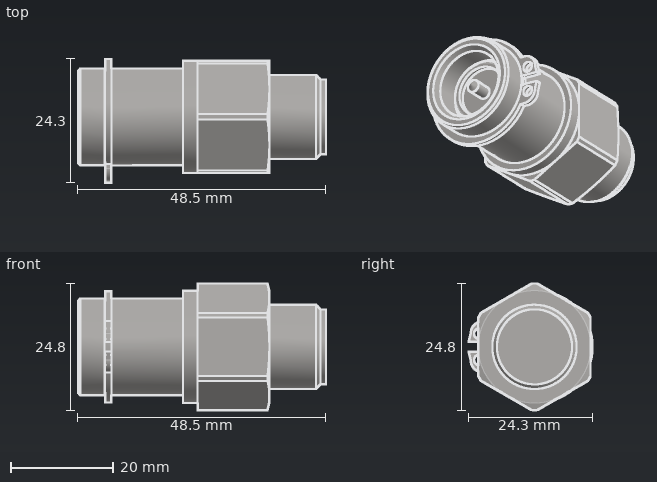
import cadquery as cq
import math


total_length = 48.5
body_diameter = 19.0
body_front_chamfer = 0.5

flange_start = 20.5
flange_diameter = 22.0
hex_start = 23.4
hex_end = 37.4
hex_sides = 6
hex_across_flats = 22.0
hex_corner_diameter = 24.8
hex_chamfer_length = 0.35

tail_diameter = 16.5
tip_diameter = 14.7
tip_length = 1.1
tail_cone_length = (tail_diameter - tip_diameter) / 2

socket_diameter = 13.6
socket_mouth_chamfer = 1.0
socket_depth = 6.3

sleeve_diameter = 12.6
sleeve_bore_diameter = 10.0
sleeve_front = 5.1
sleeve_rim_radius = 0.5

pin_diameter = 2.5
pin_front = 1.7
pin_cone_length = 0.7

groove_start = 5.2
groove_end = 6.5
groove_diameter = 18.0
ring_thickness = 1.2
ring_diameter = 21.8
ring_center_y = 0.5
ring_gap = 1.9
lug_corner_radius = 2.45
lug_corner_y = -10.05
lug_tip_y = -12.9
lug_hole_diameter = 2.0
lug_hole_y = -10.8
lug_hole_z = 2.57


def section(start):
    """Workplane across the axis at x = start; its local axes are Y and Z."""
    return cq.Workplane("YZ", origin=(start, 0, 0))


def cylinder(diameter, start, end):
    """Solid cylinder on the X axis."""
    return section(start).circle(diameter / 2).extrude(end - start)


def revolve_profile(points):
    """Solid of revolution about X from (x, radius) points."""
    return cq.Workplane("XY").polyline(points).close().revolve(360, (0, 0, 0), (1, 0, 0))


def make_body():
    """Grooved front body with its flange."""
    body = cylinder(body_diameter, 0, hex_start).faces("<X").chamfer(body_front_chamfer)
    groove = cylinder(body_diameter, groove_start, groove_end)
    groove = groove.cut(cylinder(groove_diameter, groove_start, groove_end))
    return body.cut(groove).union(cylinder(flange_diameter, flange_start, hex_start))


def make_hexagon():
    """Hexagon with corners up and down, turned corners and a chamfered rear end."""
    hexagon = (
        section(hex_start)
        .polygon(hex_sides, hex_across_flats, circumscribed=True)
        .extrude(hex_end - hex_start)
    )
    flat_radius = hex_across_flats / 2
    corner_radius = hex_corner_diameter / 2
    envelope = revolve_profile(
        [
            (hex_start, 0),
            (hex_start, corner_radius),
            (hex_end - hex_chamfer_length, corner_radius),
            (hex_end, flat_radius),
            (hex_end, 0),
        ]
    )
    return hexagon.intersect(envelope)


def make_tail():
    """Round tail that steps down through a cone to a short tip."""
    tip_start = total_length - tip_length
    tail = cylinder(tail_diameter, hex_end, tip_start).faces(">X").chamfer(tail_cone_length)
    return tail.union(cylinder(tip_diameter, tip_start, total_length))


def make_socket():
    """Cutter for the front bore and its 45 degree flared mouth."""
    bore_radius = socket_diameter / 2
    return revolve_profile(
        [
            (0, 0),
            (0, bore_radius + socket_mouth_chamfer),
            (socket_mouth_chamfer, bore_radius),
            (socket_depth, bore_radius),
            (socket_depth, 0),
        ]
    )


def make_sleeve():
    """Sleeve with a rounded outer rim."""
    sleeve = cylinder(sleeve_diameter, sleeve_front, socket_depth).faces("<X").fillet(sleeve_rim_radius)
    return sleeve.cut(cylinder(sleeve_bore_diameter, sleeve_front, socket_depth))


def make_pin():
    """Center pin with a pointed front end."""
    pin_radius = pin_diameter / 2
    return revolve_profile(
        [
            (pin_front, 0),
            (pin_front + pin_cone_length, pin_radius),
            (socket_depth, pin_radius),
            (socket_depth, 0),
        ]
    )


def make_ring():
    """Eccentric retaining ring with two drilled lugs beside its gap."""
    ring_start = groove_end - ring_thickness
    gap_edge = ring_gap / 2
    lug_top = lug_hole_z + lug_corner_radius
    diagonal = lug_corner_radius * math.sqrt(0.5)
    ring = section(ring_start).center(ring_center_y, 0).circle(ring_diameter / 2).extrude(ring_thickness)
    lug = (
        section(ring_start)
        .moveTo(0, gap_edge)
        .lineTo(0, lug_top)
        .lineTo(lug_corner_y, lug_top)
        .threePointArc(
            (lug_corner_y - diagonal, lug_hole_z + diagonal),
            (lug_corner_y - lug_corner_radius, lug_hole_z),
        )
        .lineTo(lug_tip_y, gap_edge)
        .close()
        .extrude(ring_thickness)
    )
    ring = ring.union(lug).union(lug.mirror("XY"))
    gap = section(ring_start).center(lug_tip_y / 2, 0).rect(-lug_tip_y, ring_gap).extrude(ring_thickness)
    holes = (
        section(ring_start)
        .pushPoints([(lug_hole_y, lug_hole_z), (lug_hole_y, -lug_hole_z)])
        .circle(lug_hole_diameter / 2)
        .extrude(ring_thickness)
    )
    groove_core = cylinder(groove_diameter, ring_start, groove_end)
    return ring.cut(gap).cut(holes).cut(groove_core)


result = make_body().union(make_hexagon()).union(make_tail())
result = result.union(make_ring())
result = result.cut(make_socket())
result = result.union(make_sleeve()).union(make_pin())